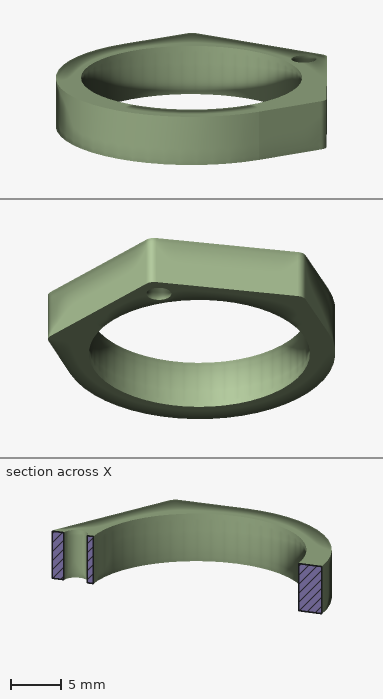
import cadquery as cq
import math

thickness = 5.0
bore_diameter = 22.0
outer_radius = 13.5
top_y = 15.42
peak_x = -0.05
shoulder_half_width = 13.48
roof_angle = 30.0
corner_radius = 1.0
hole_diameter = 2.5
hole_y = 12.9

slope = math.radians(roof_angle)
peak_y = top_y + corner_radius * (1 / math.cos(slope) - 1)
shoulder_y = peak_y - shoulder_half_width * math.tan(slope)
left_x = peak_x - shoulder_half_width
right_x = peak_x + shoulder_half_width

body = (
    cq.Workplane("XY")
    .moveTo(-outer_radius, 0)
    .threePointArc((0, -outer_radius), (outer_radius, 0))
    .lineTo(right_x, shoulder_y)
    .lineTo(peak_x, peak_y)
    .lineTo(left_x, shoulder_y)
    .close()
    .extrude(thickness)
)

corner_edges = body.edges("|Z").edges(cq.selectors.BoxSelector(
    (-2 * outer_radius, shoulder_y / 2, -thickness),
    (2 * outer_radius, 2 * peak_y, 2 * thickness),
))
body = corner_edges.fillet(corner_radius)

bore = cq.Workplane("XY").circle(bore_diameter / 2).extrude(thickness)
hole = cq.Workplane("XY").center(peak_x, hole_y).circle(hole_diameter / 2).extrude(thickness)

result = body.cut(bore).cut(hole)